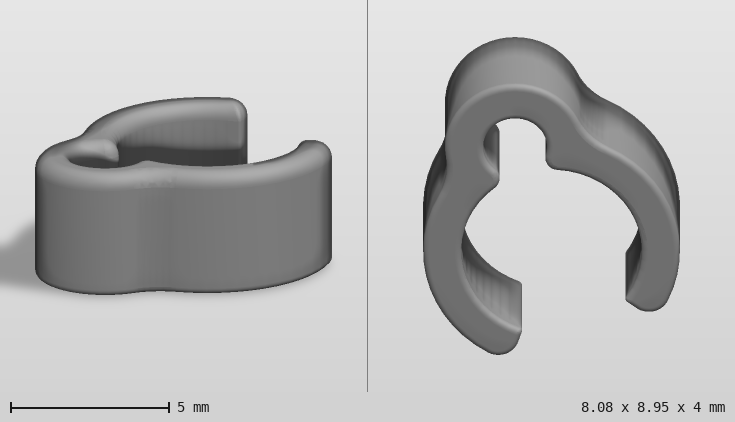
import cadquery as cq
import math

height = 4.0
wall = 1.2
clip_outer_radius = 4.04
loop_inner_radius = 1.0
loop_center_y = -3.8
mouth_angle = 54
neck_radius = 2.0
lip_radius = 0.4
tip_outer_radius = 0.66
tip_inner_radius = 0.1
top_rounding = 0.5
bottom_rounding = 0.2

clip_inner_radius = clip_outer_radius - wall
loop_outer_radius = loop_inner_radius + wall


def cylinder(radius, center_y=0):
    return cq.Workplane("XY").center(0, center_y).circle(radius).extrude(height)


def crossing(radius, loop_radius):
    """Right-hand crossing of a circle about the origin with one about the loop centre."""
    y = (radius**2 - loop_radius**2 + loop_center_y**2) / (2 * loop_center_y)
    return math.sqrt(radius**2 - y**2), y


def polar(radius, angle):
    return radius * math.cos(math.radians(angle)), radius * math.sin(math.radians(angle))


def round_upright_edges(body, point, radius):
    """Round the upright edge through the point and its mirror image across X = 0."""
    x, y = point
    for edge_x in (x, -x):
        nearest = cq.selectors.NearestToPointSelector((edge_x, y, height / 2))
        body = body.edges("|Z").edges(nearest).fillet(radius)
    return body


body = cylinder(clip_outer_radius).union(cylinder(loop_outer_radius, loop_center_y))
body = round_upright_edges(body, crossing(clip_outer_radius, loop_outer_radius), neck_radius)

body = body.cut(cylinder(clip_inner_radius)).cut(cylinder(loop_inner_radius, loop_center_y))

mouth_reach = 2 * clip_outer_radius
right_x, reach_y = polar(mouth_reach, mouth_angle)
mouth = cq.Workplane("XY").polyline([(0, 0), (right_x, reach_y), (-right_x, reach_y)]).close().extrude(height)
body = body.cut(mouth)

body = round_upright_edges(body, crossing(clip_inner_radius, loop_inner_radius), lip_radius)
body = round_upright_edges(body, polar(clip_outer_radius, mouth_angle), tip_outer_radius)
body = round_upright_edges(body, polar(clip_inner_radius, mouth_angle), tip_inner_radius)

body = body.faces("<Z").edges().fillet(bottom_rounding)
result = body.faces(">Z").edges().fillet(top_rounding)